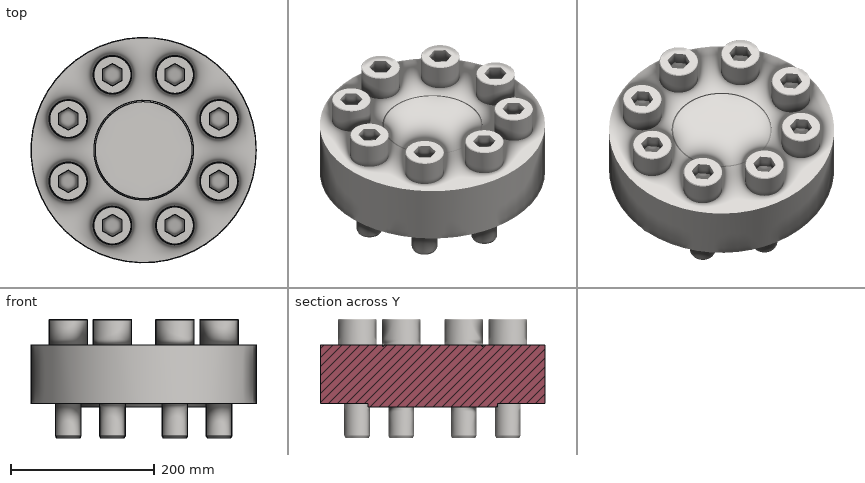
import cadquery as cq
import math

flange_diameter = 315.0
flange_thickness = 82.0
spigot_diameter = 182.0
spigot_height = 5.0

groove_diameter = 139.5
groove_width = 2.02
groove_depth = groove_width

screw_count = 8
screw_circle_radius = 114.0
shank_diameter = 36.0
shank_projection = 48.2
shank_tip_chamfer_width = 1.5
shank_tip_chamfer_height = 3.0
head_diameter = 54.0
head_height = shank_diameter
head_chamfer = 1.0
socket_across_flats = 27.0
socket_depth = 19.0


def make_flange():
    """Disc with a low round spigot under it."""
    disc = cq.Workplane("XY").circle(flange_diameter / 2).extrude(flange_thickness)
    spigot = cq.Workplane("XY").circle(spigot_diameter / 2).extrude(-spigot_height)
    return disc.union(spigot)


def make_joint_groove():
    """Ring with a vertical outer wall and a sloping inner wall."""
    outer_radius = groove_diameter / 2
    return (
        cq.Workplane("XZ")
        .moveTo(outer_radius - groove_width, flange_thickness)
        .lineTo(outer_radius, flange_thickness)
        .lineTo(outer_radius, flange_thickness - groove_depth)
        .close()
        .revolve(360, (0, 0, 0), (0, 1, 0))
    )


def make_screw():
    """Screw on the Z axis, its head resting on the upper flange face."""
    shank_radius = shank_diameter / 2
    head_radius = head_diameter / 2
    head_top = flange_thickness + head_height
    body = (
        cq.Workplane("XZ")
        .moveTo(0, -shank_projection)
        .lineTo(shank_radius - shank_tip_chamfer_width, -shank_projection)
        .lineTo(shank_radius, shank_tip_chamfer_height - shank_projection)
        .lineTo(shank_radius, flange_thickness)
        .lineTo(head_radius, flange_thickness)
        .lineTo(head_radius, head_top - head_chamfer)
        .lineTo(head_radius - head_chamfer, head_top)
        .lineTo(0, head_top)
        .close()
        .revolve(360, (0, 0, 0), (0, 1, 0))
    )
    socket_across_corners = socket_across_flats / math.cos(math.pi / 6)
    socket = (
        cq.Workplane("XY", origin=(0, 0, head_top))
        .transformed(rotate=(0, 0, 30))
        .polygon(6, socket_across_corners)
        .extrude(-socket_depth)
    )
    return body.cut(socket)


result = make_flange().cut(make_joint_groove())

screw = make_screw()
for index in range(screw_count):
    angle = 2 * math.pi * (index + 0.5) / screw_count
    screw_x = screw_circle_radius * math.cos(angle)
    screw_y = screw_circle_radius * math.sin(angle)
    result = result.union(screw.translate((screw_x, screw_y, 0)))